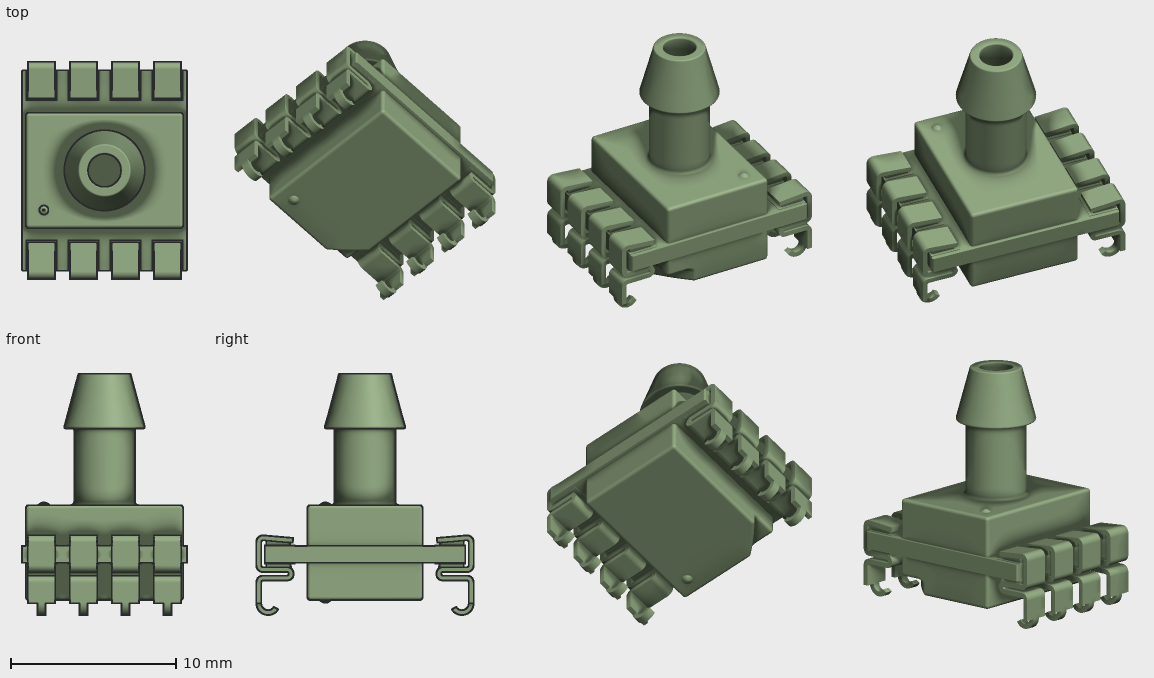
import cadquery as cq
import math


TOTAL_HEIGHT = 14.63
LEAD_SPAN = 13.18

BOARD_X = 10.0
BOARD_Y = 12.17
BOARD_BOTTOM = 3.16
BOARD_TOP = 4.2
BOARD_CORNER_RADIUS = 0.1

HOUSING_X = 9.55
HOUSING_Y = 7.01
HOUSING_BOTTOM = 0.9
HOUSING_TOP = 6.67
HOUSING_EDGE_RADIUS = 0.2

NOTCH_LEG = 1.93
NOTCH_CEILING = 1.85
NOTCH_BULGE = 0.1
NOTCH_OVERSHOOT = 0.29
NOTCH_ROOT_RADIUS = 0.23

TUBE_DIAMETER = 3.7
BORE_DIAMETER = 2.0
BARB_RADIUS = 2.47
BARB_TIP_RADIUS = 1.58
BARB_BOTTOM = 11.31
PORT_EDGE_RADIUS = 0.1
PORT_BASE_RADIUS = 0.2

BUMP_X = -3.67
BUMP_Y = -2.4
BUMP_BASE_DIAMETER = 0.75
BUMP_DOME_RADIUS = 0.28
BUMP_FLAT_RADIUS = 0.06
BUMP_FOOT_HEIGHT = 0.051
BUMP_HEIGHT = 0.16
BUMP_DOME_MIDDLE = (0.15, 0.13)

LEADS_PER_SIDE = 4
LEAD_PITCH = 2.55
LEAD_WIDTH = 1.65
LEAD_THICKNESS = 0.3
INNER_BEND_RADIUS = 0.1
UPPER_ARM_TILT = 5.0
UPPER_ARM_TIP_Y = 4.36
LEAD_TOP = 4.84
FOLD_INNER_Y = 4.32
MIDDLE_ARM_TOP = 2.91
HOOK_WIDTH = 0.5
HOOK_OUTER_RADIUS = 0.72
HOOK_SWEEP = 149.0

PAD_WIDTH = 1.86
PAD_THICKNESS = 0.05
PAD_INNER_Y = 4.25
SOLDER_OUTER_Y = 6.0
SOLDER_INNER_Y = 4.54
SOLDER_FOOT_FLARE = 0.1
SOLDER_NECK_WIDTH = 1.52

BEND_RADIUS = INNER_BEND_RADIUS + LEAD_THICKNESS / 2
LEG_Y = LEAD_SPAN / 2 - LEAD_THICKNESS / 2
BEND_Y = LEG_Y - BEND_RADIUS
TOP_BEND_Z = LEAD_TOP - LEAD_THICKNESS / 2 - BEND_RADIUS
MIDDLE_ARM_Z = MIDDLE_ARM_TOP - LEAD_THICKNESS / 2
LOWER_ARM_Z = MIDDLE_ARM_Z - 2 * BEND_RADIUS
FOLD_Y = FOLD_INNER_Y + LEAD_THICKNESS / 2 + BEND_RADIUS
HOOK_TOP = HOOK_OUTER_RADIUS
TILT = math.radians(UPPER_ARM_TILT)
ARM_END_Y = BEND_Y - BEND_RADIUS * math.sin(TILT)
ARM_END_Z = TOP_BEND_Z + BEND_RADIUS * math.cos(TILT)


def upper_arm_z(y):
    """Height of the middle of the tilted upper arm at a given Y."""
    return ARM_END_Z - (ARM_END_Y - y) * math.tan(TILT)


def block(size_x, size_y, z_low, z_high):
    return (
        cq.Workplane("XY")
        .workplane(offset=z_low)
        .rect(size_x, size_y)
        .extrude(z_high - z_low)
    )


def make_board():
    board = block(BOARD_X, BOARD_Y, BOARD_BOTTOM, BOARD_TOP)
    return board.edges("|Z").fillet(BOARD_CORNER_RADIUS)


def make_notch():
    """Tool that removes the bottom corner of the housing along a diagonal wall."""
    corner_x = -HOUSING_X / 2
    corner_y = HOUSING_Y / 2
    half_leg = NOTCH_LEG / 2
    bow = NOTCH_BULGE / math.sqrt(2)
    reach = NOTCH_OVERSHOOT
    tool = (
        cq.Workplane("XY")
        .workplane(offset=HOUSING_BOTTOM - reach)
        .moveTo(corner_x - reach, corner_y - NOTCH_LEG - reach)
        .threePointArc(
            (corner_x + half_leg - bow, corner_y - half_leg + bow),
            (corner_x + NOTCH_LEG + reach, corner_y + reach),
        )
        .lineTo(corner_x - reach, corner_y + reach)
        .close()
        .extrude(NOTCH_CEILING - HOUSING_BOTTOM + reach)
    )
    wall_top = cq.selectors.NearestToPointSelector(
        (corner_x + half_leg, corner_y - half_leg, NOTCH_CEILING)
    )
    return tool.edges(">Z").edges(wall_top).fillet(NOTCH_ROOT_RADIUS)


def make_housing():
    """Rounded block with every outer edge, including those of the notch, filleted."""
    housing = block(HOUSING_X, HOUSING_Y, HOUSING_BOTTOM, HOUSING_TOP)
    housing = housing.cut(make_notch())
    return housing.edges("|X or |Y or |Z or <Z").fillet(HOUSING_EDGE_RADIUS)


def make_port():
    """Hollow tube with a conical barb; its bore ends level with the housing top."""
    tube_radius = TUBE_DIAMETER / 2
    port = (
        cq.Workplane("XZ")
        .moveTo(0, HOUSING_TOP)
        .lineTo(tube_radius + PORT_BASE_RADIUS, HOUSING_TOP)
        .radiusArc((tube_radius, HOUSING_TOP + PORT_BASE_RADIUS), PORT_BASE_RADIUS)
        .lineTo(tube_radius, BARB_BOTTOM)
        .lineTo(BARB_RADIUS, BARB_BOTTOM)
        .lineTo(BARB_TIP_RADIUS, TOTAL_HEIGHT)
        .lineTo(0, TOTAL_HEIGHT)
        .close()
        .revolve(360, (0, 0), (0, 1))
    )
    bore = (
        cq.Workplane("XY")
        .workplane(offset=HOUSING_TOP)
        .circle(BORE_DIAMETER / 2)
        .extrude(TOTAL_HEIGHT - HOUSING_TOP)
    )
    port = port.cut(bore)
    barb_edges = cq.selectors.BoxSelector(
        (-BARB_RADIUS, -BARB_RADIUS, BARB_BOTTOM - PORT_EDGE_RADIUS),
        (BARB_RADIUS, BARB_RADIUS, TOTAL_HEIGHT + PORT_EDGE_RADIUS),
    )
    return port.edges("%CIRCLE").edges(barb_edges).fillet(PORT_EDGE_RADIUS)


def make_bump():
    """Shallow dome with a flared foot, standing on Z = 0."""
    base_radius = BUMP_BASE_DIAMETER / 2
    return (
        cq.Workplane("XZ")
        .lineTo(base_radius, 0)
        .radiusArc((BUMP_DOME_RADIUS, BUMP_FOOT_HEIGHT), base_radius - BUMP_DOME_RADIUS)
        .threePointArc(BUMP_DOME_MIDDLE, (BUMP_FLAT_RADIUS, BUMP_HEIGHT))
        .lineTo(0, BUMP_HEIGHT)
        .close()
        .revolve(360, (0, 0), (0, 1))
    )


def make_lead():
    """One lead of the +Y row, centred on X = 0."""
    tip_z = upper_arm_z(UPPER_ARM_TIP_Y)
    strip_path = (
        cq.Workplane("YZ")
        .moveTo(UPPER_ARM_TIP_Y, tip_z)
        .lineTo(ARM_END_Y, ARM_END_Z)
        .tangentArcPoint((LEG_Y, TOP_BEND_Z), relative=False)
        .lineTo(LEG_Y, MIDDLE_ARM_Z + BEND_RADIUS)
        .tangentArcPoint((BEND_Y, MIDDLE_ARM_Z), relative=False)
        .lineTo(FOLD_Y, MIDDLE_ARM_Z)
        .tangentArcPoint((FOLD_Y, LOWER_ARM_Z), relative=False)
        .lineTo(BEND_Y, LOWER_ARM_Z)
        .tangentArcPoint((LEG_Y, LOWER_ARM_Z - BEND_RADIUS), relative=False)
        .lineTo(LEG_Y, HOOK_TOP)
    )
    tip_plane = cq.Plane(
        origin=(0, UPPER_ARM_TIP_Y, tip_z),
        xDir=(1, 0, 0),
        normal=(0, math.cos(TILT), math.sin(TILT)),
    )
    strip = cq.Workplane(tip_plane).rect(LEAD_WIDTH, LEAD_THICKNESS).sweep(strip_path)
    hook_radius = HOOK_OUTER_RADIUS - LEAD_THICKNESS / 2
    hook = (
        cq.Workplane("XY", origin=(0, LEG_Y, HOOK_TOP))
        .rect(HOOK_WIDTH, LEAD_THICKNESS)
        .revolve(HOOK_SWEEP, (0.15, -hook_radius, 0), (0, -hook_radius, 0))
    )
    return strip.union(hook)


def make_pad(z_low):
    length = BOARD_Y / 2 - PAD_INNER_Y
    return block(PAD_WIDTH, length, z_low, z_low + PAD_THICKNESS).translate(
        (0, PAD_INNER_Y + length / 2, 0)
    )


def make_solder(side_profile, pad_z, lead_z):
    """Solder with the given YZ side profile, widening from the pad to the lead."""
    tapered_prism = (
        cq.Workplane("XZ")
        .moveTo(-SOLDER_NECK_WIDTH / 2, pad_z)
        .lineTo(SOLDER_NECK_WIDTH / 2, pad_z)
        .lineTo(LEAD_WIDTH / 2, lead_z)
        .lineTo(-LEAD_WIDTH / 2, lead_z)
        .close()
        .extrude(-BOARD_Y)
    )
    side = cq.Workplane("YZ").polyline(side_profile).close().extrude(LEAD_WIDTH / 2, both=True)
    return side.intersect(tapered_prism)


def make_upper_solder():
    pad_z = BOARD_TOP + PAD_THICKNESS
    outer_z = upper_arm_z(SOLDER_OUTER_Y)
    side_profile = [
        (SOLDER_OUTER_Y, pad_z),
        (SOLDER_OUTER_Y, outer_z),
        (SOLDER_INNER_Y, upper_arm_z(SOLDER_INNER_Y)),
        (SOLDER_INNER_Y, pad_z),
    ]
    return make_solder(side_profile, pad_z, outer_z)


def make_lower_solder():
    pad_z = BOARD_BOTTOM - PAD_THICKNESS
    side_profile = [
        (SOLDER_OUTER_Y, pad_z),
        (SOLDER_OUTER_Y, MIDDLE_ARM_Z),
        (SOLDER_INNER_Y - SOLDER_FOOT_FLARE, MIDDLE_ARM_Z),
        (SOLDER_INNER_Y, pad_z),
    ]
    return make_solder(side_profile, pad_z, MIDDLE_ARM_Z)


def make_lead_joint():
    """A lead with its solder and the two board pads it clips over."""
    return (
        make_lead()
        .union(make_upper_solder())
        .union(make_lower_solder())
        .union(make_pad(BOARD_TOP))
        .union(make_pad(BOARD_BOTTOM - PAD_THICKNESS))
    )


result = make_board().union(make_housing()).union(make_port())

bump = make_bump()
top_bump = bump.translate((BUMP_X, BUMP_Y, HOUSING_TOP))
bottom_bump = bump.mirror("XY").translate((BUMP_X, BUMP_Y, HOUSING_BOTTOM))
result = result.union(top_bump).union(bottom_bump)

lead_joint = make_lead_joint()
for index in range(LEADS_PER_SIDE):
    lead_x = (index - (LEADS_PER_SIDE - 1) / 2) * LEAD_PITCH
    placed = lead_joint.translate((lead_x, 0, 0))
    result = result.union(placed).union(placed.mirror("XZ"))